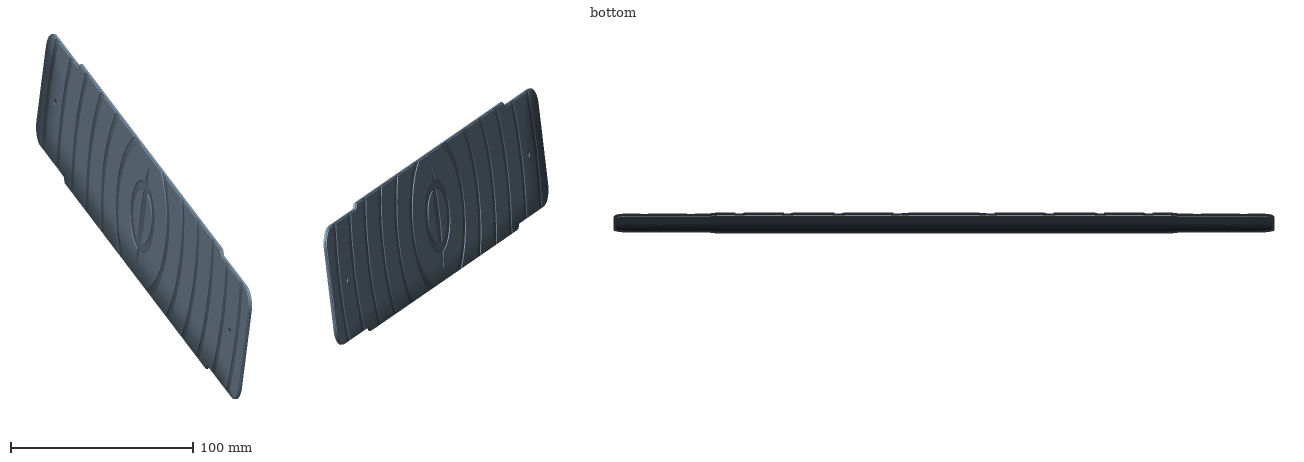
import cadquery as cq

length = 361.5
height = 72.0
thickness = 1.8
lean_angle = 7.0

end_height = 66.5
end_length = 55.5
step_run = 3.0
corner_radius = 11.0

panel_rise = 0.55
rim_width = 0.58
base_thickness = thickness - panel_rise

first_ring_radius = 20.2
last_ring_radius = 170.0
ring_count = 7
ring_width = 5.0
ring_pitch = (last_ring_radius - first_ring_radius) / (ring_count - 1)

needle_length = 60.0
needle_width = 8.0

hole_spacing = 310.2
hole_diameter = 2.2
counterbore_diameter = 4.0
counterbore_depth = 0.7


def plate_outline():
    """Outline of the plate: a tall middle between lower ends with rounded corners."""
    shoulder_x = length / 2 - end_length
    neck_x = shoulder_x + step_run
    shoulder_y = height / 2
    neck_y = end_height / 2
    middle = cq.Sketch().polygon(
        [
            (-neck_x, -neck_y),
            (-shoulder_x, -shoulder_y),
            (shoulder_x, -shoulder_y),
            (neck_x, -neck_y),
            (neck_x, neck_y),
            (shoulder_x, shoulder_y),
            (-shoulder_x, shoulder_y),
            (-neck_x, neck_y),
            (-neck_x, -neck_y),
        ]
    )
    ends = cq.Sketch().rect(length, end_height).vertices().fillet(corner_radius).reset()
    return ends.face(middle).clean()


def groove_pattern():
    """Needle and concentric rings, as tall as the panels they separate."""
    floor = cq.Workplane("XY").workplane(offset=base_thickness)
    tip_y = needle_length / 2
    side_x = needle_width / 2
    pattern = (
        floor.moveTo(0, -tip_y)
        .threePointArc((side_x, 0), (0, tip_y))
        .threePointArc((-side_x, 0), (0, -tip_y))
        .close()
        .extrude(panel_rise)
    )
    for index in range(ring_count):
        outer_radius = first_ring_radius + index * ring_pitch
        inner_radius = outer_radius - ring_width
        pattern = pattern.union(floor.circle(outer_radius).circle(inner_radius).extrude(panel_rise))
    return pattern


def raised_panels(base):
    """Layer on top of the base, inset by the rim and divided by the grooves."""
    layer = (
        base.faces(">Z")
        .wires()
        .toPending()
        .workplane()
        .offset2D(-rim_width)
        .extrude(panel_rise, combine=False)
    )
    return layer.cut(groove_pattern())


def drill_mounting_holes(plate):
    """One counterbored hole near each end, sunk from the front face."""
    front = cq.Workplane("XY", origin=(0, 0, thickness))
    return (
        plate.copyWorkplane(front)
        .pushPoints([(-hole_spacing / 2, 0), (hole_spacing / 2, 0)])
        .cboreHole(hole_diameter, counterbore_diameter, counterbore_depth)
    )


base = cq.Workplane("XY").placeSketch(plate_outline()).extrude(base_thickness)
plate = drill_mounting_holes(base.union(raised_panels(base)))

result = plate.rotate((0, 0, 0), (1, 0, 0), 90 - lean_angle)